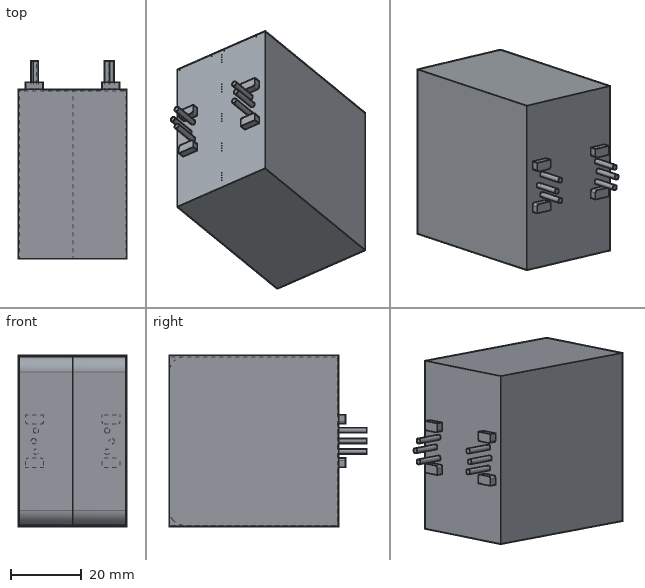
import cadquery as cq

case_width = 30.82
case_depth = 47.96
case_height = 48.48
wall = 0.4

cell_width = case_width / 2 - wall
cell_height = case_height - 2 * wall
cell_depth = case_depth - wall
cell_edge_radius = 4.3

foot_width = 5.0
foot_height = 2.65
foot_length = 2.0
foot_top = 7.45
foot_edge_radius = 0.7
foot_offset_x = 10.8

pin_diameter = 1.5
pin_length = 8.0
pin_pitch = 3.0
middle_pin_offset_x = 11.05
left_outer_pin_x = -10.4
right_outer_pin_x = 9.75


def make_foot(side, level):
    """Foot on one half (side) above or below the pins (level), rounded on its edges facing the pins."""
    foot = cq.Workplane("XY").box(foot_width, foot_length, foot_height, centered=(True, False, True))
    foot = foot.edges("|Y").edges("<Z" if level > 0 else ">Z").fillet(foot_edge_radius)
    return foot.translate((side * foot_offset_x, case_depth, level * (foot_top - foot_height / 2)))


def make_pins():
    """Round pins that stand on the back wall."""
    pin_places = []
    for side, outer_pin_x in ((-1, left_outer_pin_x), (1, right_outer_pin_x)):
        pin_places.append((outer_pin_x, pin_pitch))
        pin_places.append((side * middle_pin_offset_x, 0))
        pin_places.append((outer_pin_x, -pin_pitch))
    back_face = cq.Workplane("XZ", origin=(0, case_depth, 0))
    return back_face.pushPoints(pin_places).circle(pin_diameter / 2).extrude(-pin_length)


def make_case():
    """Open box with the feet and pins on its back wall."""
    case = cq.Workplane("XY").box(case_width, case_depth, case_height, centered=(True, False, True))
    case = case.faces("<Y").shell(-wall)
    for side in (-1, 1):
        for level in (-1, 1):
            case = case.union(make_foot(side, level))
    return case.union(make_pins())


def make_cell(side):
    """Block in one half of the case, its front rounded at top and bottom."""
    cell = cq.Workplane("XY").box(cell_width, cell_depth, cell_height, centered=(True, False, True))
    cell = cell.edges("|X and <Y").fillet(cell_edge_radius)
    return cell.translate((side * cell_width / 2, 0, 0))


case = make_case()
cells = [make_cell(side) for side in (-1, 1)]

result = cq.Compound.makeCompound([case.val(), *[cell.val() for cell in cells]])